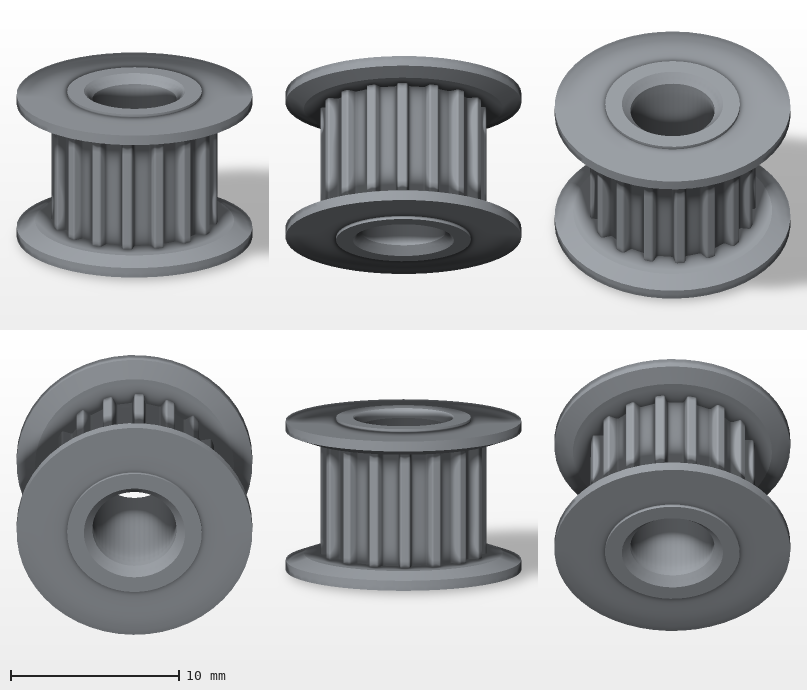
import cadquery as cq
import math

overall_height = 9.4
bore_diameter = 5.0
bore_chamfer = 0.5

hub_diameter = 8.0
hub_step = 0.2

flange_diameter = 14.0
flange_inner_diameter = 11.82
flange_thickness = 1.0
rim_thickness = 0.6

tooth_count = 16
tooth_tip_diameter = 9.84
groove_depth = 0.63
groove_floor_width = 0.94
groove_included_angle = 40.0
tooth_edge_radius = 0.13

half_height = overall_height / 2
flange_outer_z = half_height - hub_step
rim_inner_z = flange_outer_z - rim_thickness
flange_inner_z = flange_outer_z - flange_thickness
tip_radius = tooth_tip_diameter / 2
groove_floor_radius = tip_radius - groove_depth


def make_toothed_drum():
    """Straight-toothed drum spanning the gap between the flanges."""
    length = 2 * flange_inner_z
    drum = cq.Workplane("XY").circle(tip_radius).extrude(length / 2, both=True)

    mouth_radius = tip_radius + groove_depth
    flank_slope = math.tan(math.radians(groove_included_angle / 2))
    floor_half = groove_floor_width / 2
    mouth_half = floor_half + (mouth_radius - groove_floor_radius) * flank_slope
    groove = (
        cq.Workplane("XY")
        .moveTo(groove_floor_radius, -floor_half)
        .lineTo(mouth_radius, -mouth_half)
        .lineTo(mouth_radius, mouth_half)
        .lineTo(groove_floor_radius, floor_half)
        .close()
        .extrude(length / 2, both=True)
    )
    for index in range(tooth_count):
        angle = index * 360 / tooth_count
        drum = drum.cut(groove.rotate((0, 0, 0), (0, 0, 1), angle))

    return drum.edges("|Z").fillet(tooth_edge_radius)


def make_upper_flange():
    """Upper flange and hub face, revolved about the Z axis."""
    hub_radius = hub_diameter / 2
    rim_radius = flange_diameter / 2
    return (
        cq.Workplane("XZ")
        .moveTo(0, flange_inner_z)
        .lineTo(flange_inner_diameter / 2, flange_inner_z)
        .lineTo(rim_radius, rim_inner_z)
        .lineTo(rim_radius, flange_outer_z)
        .lineTo(hub_radius, flange_outer_z)
        .lineTo(hub_radius, half_height)
        .lineTo(0, half_height)
        .close()
        .revolve(360, (0, 0, 0), (0, 1, 0))
    )


def make_bore():
    """Through bore with a 45 degree countersink at each end."""
    bore_radius = bore_diameter / 2
    mouth_radius = bore_radius + bore_chamfer
    chamfer_z = half_height - bore_chamfer
    return (
        cq.Workplane("XZ")
        .moveTo(0, -half_height)
        .lineTo(mouth_radius, -half_height)
        .lineTo(bore_radius, -chamfer_z)
        .lineTo(bore_radius, chamfer_z)
        .lineTo(mouth_radius, half_height)
        .lineTo(0, half_height)
        .close()
        .revolve(360, (0, 0, 0), (0, 1, 0))
    )


upper_flange = make_upper_flange()
lower_flange = upper_flange.mirror("XY")
result = make_toothed_drum().union(upper_flange).union(lower_flange).cut(make_bore())